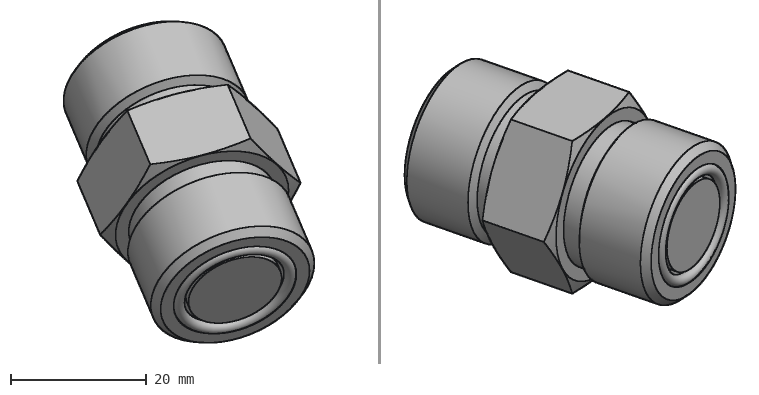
import cadquery as cq
import math

TOTAL_LENGTH = 44.1
BODY_LENGTH = 43.08

END_DIAMETER = 25.4
END_CHAMFER = 1.15
SHOULDER_X = 8.95
SHOULDER_CHAMFER_ANGLE = 60

NECK_DIAMETER = 22.75

HEX_ACROSS_FLATS = 26.95
HEX_LENGTH = 12.25
HEX_FACE_DIAMETER = 26.85
HEX_CHAMFER_ANGLE = 20

GROOVE_OUTER_DIAMETER = 19.05
GROOVE_INNER_DIAMETER = 14.45
RING_SECTION = 1.75

END_FACE_X = BODY_LENGTH / 2
GROOVE_FLOOR_X = TOTAL_LENGTH / 2 - RING_SECTION
RING_CENTER_X = TOTAL_LENGTH / 2 - RING_SECTION / 2
RING_PATH_RADIUS = (GROOVE_OUTER_DIAMETER - RING_SECTION) / 2
HEX_CORNER_DIAMETER = HEX_ACROSS_FLATS / math.cos(math.radians(30))


def revolve_about_x(profile):
    """Revolve an XY profile, with Y as the radius, about the X axis."""
    return profile.revolve(360, (0, 0, 0), (1, 0, 0))


def make_turned_body():
    """Two chamfered ends joined by the narrower neck."""
    end_radius = END_DIAMETER / 2
    neck_radius = NECK_DIAMETER / 2
    shoulder_run = (end_radius - neck_radius) / math.tan(math.radians(SHOULDER_CHAMFER_ANGLE))
    right_half = [
        (SHOULDER_X, neck_radius),
        (SHOULDER_X + shoulder_run, end_radius),
        (END_FACE_X - END_CHAMFER, end_radius),
        (END_FACE_X, end_radius - END_CHAMFER),
        (END_FACE_X, 0),
    ]
    left_half = [(-x, radius) for x, radius in reversed(right_half)]
    return revolve_about_x(cq.Workplane("XY").polyline(left_half + right_half).close())


def make_hexagon():
    """Hexagon with corners on +Y and -Y, its corners chamfered at both ends."""
    half_length = HEX_LENGTH / 2
    face_radius = HEX_FACE_DIAMETER / 2
    corner_radius = HEX_CORNER_DIAMETER / 2
    chamfer_run = (corner_radius - face_radius) * math.tan(math.radians(HEX_CHAMFER_ANGLE))
    prism = (
        cq.Workplane("YZ")
        .polygon(6, HEX_CORNER_DIAMETER)
        .extrude(half_length, both=True)
    )
    chamfer_envelope = revolve_about_x(
        cq.Workplane("XY")
        .moveTo(-half_length, 0)
        .lineTo(-half_length, face_radius)
        .lineTo(chamfer_run - half_length, corner_radius)
        .lineTo(half_length - chamfer_run, corner_radius)
        .lineTo(half_length, face_radius)
        .lineTo(half_length, 0)
        .close()
    )
    return prism.intersect(chamfer_envelope)


def make_groove_cutter(side):
    """Annular groove in one end face; side is -1 or +1 along X."""
    return (
        cq.Workplane("YZ", origin=(side * GROOVE_FLOOR_X, 0, 0))
        .circle(GROOVE_OUTER_DIAMETER / 2)
        .circle(GROOVE_INNER_DIAMETER / 2)
        .extrude(side * (END_FACE_X - GROOVE_FLOOR_X))
    )


def make_housing():
    """One-piece fitting body with a seal groove in each end face."""
    housing = make_turned_body().union(make_hexagon())
    for side in (-1, 1):
        housing = housing.cut(make_groove_cutter(side))
    return housing


def make_seal_ring(side):
    """Round-section ring that rests on the groove floor and stands proud of the end face."""
    return cq.Solid.makeTorus(
        RING_PATH_RADIUS,
        RING_SECTION / 2,
        cq.Vector(side * RING_CENTER_X, 0, 0),
        cq.Vector(1, 0, 0),
    )


housing = make_housing()
seal_rings = [make_seal_ring(side) for side in (-1, 1)]

result = cq.Compound.makeCompound([housing.val(), *seal_rings])